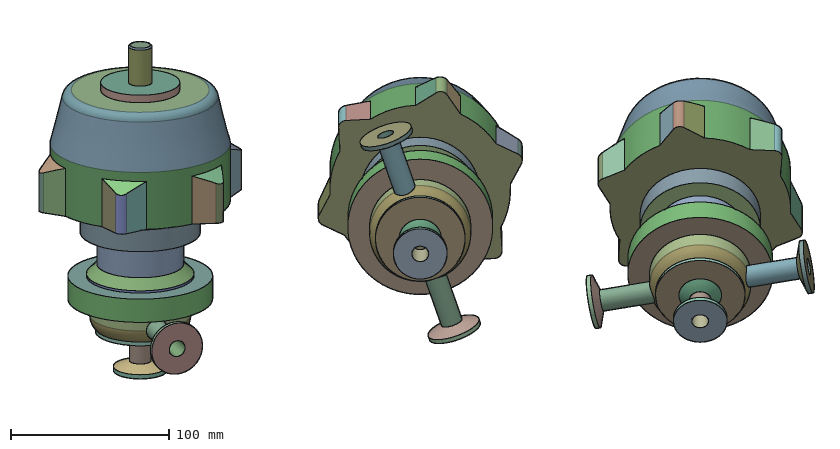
import cadquery as cq
import math


STEM_DIA = 15.0
STEM_TOP = 180.0
STEM_CHAMFER = 1.0
CAP_DIA = 50.0
CAP_TOP = 155.0
WHEEL_DIA = 114.0
WHEEL_TOP_DIA = 96.4
WHEEL_TOP = 150.0
WHEEL_CONE_START = 114.5
WHEEL_BOTTOM = 76.5
WHEEL_SHOULDER_RADIUS = 6.0

GRIP_COUNT = 6
GRIP_REACH = 67.5
GRIP_TIP_RADIUS = 5.0
GRIP_HALF_ANGLE = math.radians(45.0)
GRIP_TOP = 108.5
GRIP_TOP_SLOPE = math.radians(30.0)

UPPER_NECK_DIA = 54.0
COLLAR_DIA = 76.0
COLLAR_TOP = 69.5
COLLAR_BOTTOM = 55.0
LOWER_NECK_DIA = 55.0
FLARE_TOP = 34.0
FLARE_DIA = 68.0
FLANGE_DIA = 91.5
FLANGE_TOP = 26.0
FLANGE_BOTTOM = 10.5

BOWL_DIA = 64.0
BOWL_ROUND_RADIUS = 12.0
RING_DIA = 56.62
RING_BOTTOM = -11.2
DOME_RADIUS = 17.5

SIDE_PORT_REACH = 70.0
BOTTOM_PORT_REACH = 37.25
TUBE_DIA = 13.8
BORE_DIA = 10.5
FERRULE_DIA = 34.0
FERRULE_RIM = 2.85
FERRULE_SLOPE = math.radians(20.0)


def disc(diameter, bottom, top):
    """Upright cylinder on the valve axis."""
    return cq.Workplane("XY").workplane(offset=bottom).circle(diameter / 2).extrude(top - bottom)


def make_stem():
    return disc(STEM_DIA, CAP_TOP, STEM_TOP).faces(">Z").chamfer(STEM_CHAMFER)


def make_wheel():
    """Cylinder, cone and rounded shoulder turned about the valve axis."""
    return (
        cq.Workplane("XZ")
        .moveTo(0, WHEEL_BOTTOM)
        .lineTo(WHEEL_DIA / 2, WHEEL_BOTTOM)
        .lineTo(WHEEL_DIA / 2, WHEEL_CONE_START)
        .lineTo(WHEEL_TOP_DIA / 2, WHEEL_TOP)
        .lineTo(0, WHEEL_TOP)
        .close()
        .revolve(360, (0, 0, 0), (0, 1, 0))
        .faces(">Z")
        .edges()
        .fillet(WHEEL_SHOULDER_RADIUS)
    )


def make_grips():
    """Wedges with rounded tips, cut off on top by a cone falling outward."""
    tip_center = GRIP_REACH - GRIP_TIP_RADIUS
    flank_x = tip_center + GRIP_TIP_RADIUS * math.sin(GRIP_HALF_ANGLE)
    flank_y = GRIP_TIP_RADIUS * math.cos(GRIP_HALF_ANGLE)
    apex = tip_center + GRIP_TIP_RADIUS / math.sin(GRIP_HALF_ANGLE)
    root_x = WHEEL_DIA / 4
    root_y = (apex - root_x) * math.tan(GRIP_HALF_ANGLE)
    wedge = (
        cq.Workplane("XY")
        .workplane(offset=WHEEL_BOTTOM)
        .moveTo(root_x, -root_y)
        .lineTo(flank_x, -flank_y)
        .threePointArc((GRIP_REACH, 0), (flank_x, flank_y))
        .lineTo(root_x, root_y)
        .close()
        .extrude(GRIP_TOP - WHEEL_BOTTOM)
    )
    drop = (GRIP_REACH - WHEEL_DIA / 2) * math.tan(GRIP_TOP_SLOPE)
    envelope = (
        cq.Workplane("XZ")
        .moveTo(0, WHEEL_BOTTOM)
        .lineTo(GRIP_REACH, WHEEL_BOTTOM)
        .lineTo(GRIP_REACH, GRIP_TOP - drop)
        .lineTo(WHEEL_DIA / 2, GRIP_TOP)
        .lineTo(0, GRIP_TOP)
        .close()
        .revolve(360, (0, 0, 0), (0, 1, 0))
    )
    grip = wedge.intersect(envelope)
    pitch = 360 / GRIP_COUNT
    grips = cq.Workplane("XY")
    for index in range(GRIP_COUNT):
        grips = grips.union(grip.rotate((0, 0, 0), (0, 0, 1), (index + 0.5) * pitch))
    return grips


def make_neck():
    """Necks and collar, with a 45 degree flare down to the body flange."""
    flare_bottom = FLARE_TOP - (FLARE_DIA - LOWER_NECK_DIA) / 2
    flare = (
        cq.Workplane("XZ")
        .moveTo(0, FLANGE_TOP)
        .lineTo(FLARE_DIA / 2, FLANGE_TOP)
        .lineTo(FLARE_DIA / 2, flare_bottom)
        .lineTo(LOWER_NECK_DIA / 2, FLARE_TOP)
        .lineTo(0, FLARE_TOP)
        .close()
        .revolve(360, (0, 0, 0), (0, 1, 0))
    )
    return (
        disc(UPPER_NECK_DIA, COLLAR_TOP, WHEEL_BOTTOM)
        .union(disc(COLLAR_DIA, COLLAR_BOTTOM, COLLAR_TOP))
        .union(disc(LOWER_NECK_DIA, FLARE_TOP, COLLAR_BOTTOM))
        .union(flare)
    )


def make_bowl():
    """Bowl with a rounded lower edge running into a ring, and a spherical dome below it."""
    round_center = BOWL_DIA / 2 - BOWL_ROUND_RADIUS
    ring_angle = math.acos((RING_DIA / 2 - round_center) / BOWL_ROUND_RADIUS)
    ring_top = -BOWL_ROUND_RADIUS * math.sin(ring_angle)
    bowl = (
        cq.Workplane("XZ")
        .moveTo(0, FLANGE_BOTTOM)
        .lineTo(BOWL_DIA / 2, FLANGE_BOTTOM)
        .lineTo(BOWL_DIA / 2, 0)
        .tangentArcPoint((RING_DIA / 2, ring_top), relative=False)
        .lineTo(RING_DIA / 2, RING_BOTTOM)
        .lineTo(0, RING_BOTTOM)
        .close()
        .revolve(360, (0, 0, 0), (0, 1, 0))
    )
    dome_end = -math.sqrt(DOME_RADIUS**2 - (TUBE_DIA / 2) ** 2)
    dome = cq.Workplane("XY").sphere(DOME_RADIUS).intersect(disc(BOWL_DIA, dome_end, 0))
    return bowl.union(dome)


def make_port(start, reach):
    """Hollow tube along -Z from `start` to a clamp ferrule whose face is `reach` from the origin."""
    ferrule_rise = (FERRULE_DIA - TUBE_DIA) / 2 * math.tan(FERRULE_SLOPE)
    rim_top = FERRULE_RIM - reach
    return (
        cq.Workplane("XZ")
        .moveTo(BORE_DIA / 2, -reach)
        .lineTo(FERRULE_DIA / 2, -reach)
        .lineTo(FERRULE_DIA / 2, rim_top)
        .lineTo(TUBE_DIA / 2, rim_top + ferrule_rise)
        .lineTo(TUBE_DIA / 2, -start)
        .lineTo(BORE_DIA / 2, -start)
        .close()
        .revolve(360, (0, 0, 0), (0, 1, 0))
    )


def make_ports():
    """Two opposed side ports and the bottom outlet; their bores end at the bowl."""
    left = make_port(BOWL_DIA / 4, SIDE_PORT_REACH).rotate((0, 0, 0), (0, 1, 0), 90)
    right = left.mirror("YZ")
    bottom = make_port(-RING_BOTTOM, BOTTOM_PORT_REACH)
    return left.union(right).union(bottom)


result = (
    make_wheel()
    .union(make_grips())
    .union(disc(CAP_DIA, WHEEL_TOP, CAP_TOP))
    .union(make_stem())
    .union(make_neck())
    .union(disc(FLANGE_DIA, FLANGE_BOTTOM, FLANGE_TOP))
    .union(make_bowl())
    .union(make_ports())
)